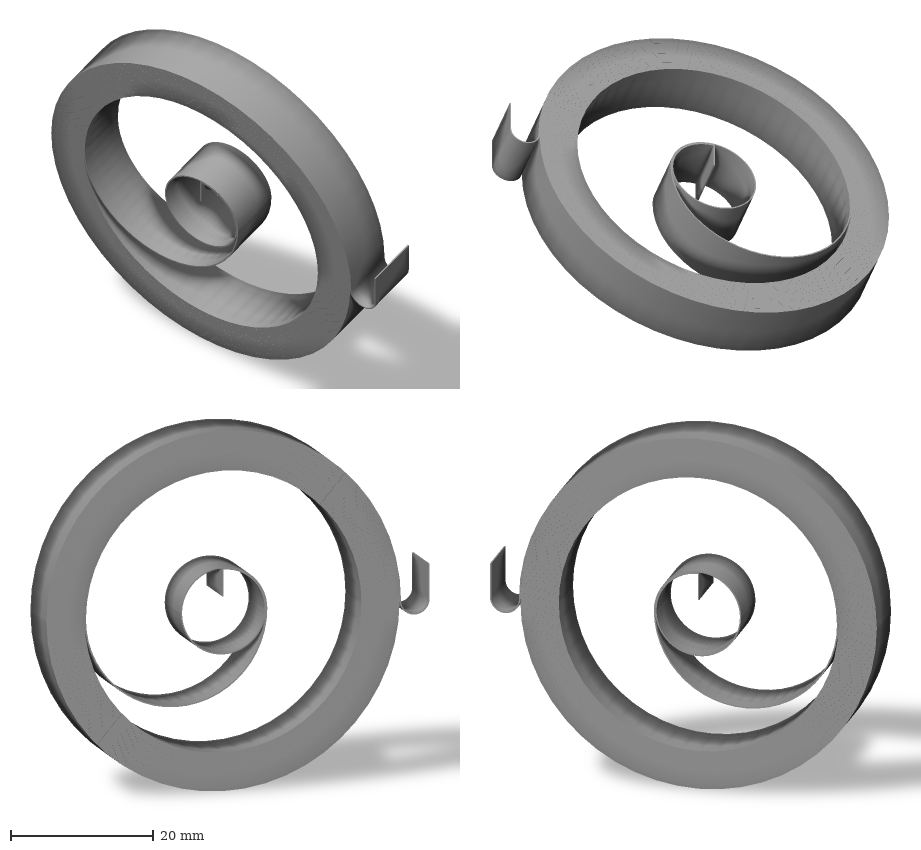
import cadquery as cq
import math

pitch = 0.2
turn_clearance = 0.002
half_thickness = (pitch - turn_clearance) / 2
width = 8.0

tang_tip_z = 2.1
tang_x = -0.1
arbor_start_x = 6.1
arbor_left_x = arbor_start_x + pitch / 2
arbor_exit_x = arbor_start_x + pitch

full_turns = 28
pack_outside_radius = 26.0
pack_outer_radius = pack_outside_radius - pitch / 2
pack_inner_radius = pack_outer_radius - full_turns * pitch

hook_leg_x = 30.1
hook_leg_top_z = 5.0

ABOVE = 1
BELOW = -1
LEFT = 1
RIGHT = -1


def arbor_half_turns():
    """Half circles as (start x, end x, side of the X axis); the last one leads out to the pack."""
    return [
        (arbor_start_x, -arbor_left_x, BELOW),
        (-arbor_left_x, arbor_exit_x, ABOVE),
        (arbor_exit_x, -pack_inner_radius, BELOW),
    ]


def pack_half_turns():
    half_turns = []
    for turn in range(full_turns):
        radius = pack_inner_radius + turn * pitch
        half_turns.append((-radius, radius, ABOVE))
        half_turns.append((radius, -(radius + pitch), BELOW))
    half_turns.append((-pack_outer_radius, pack_outer_radius, ABOVE))
    return half_turns


def hook_half_turn():
    return [(pack_outer_radius, hook_leg_x, BELOW)]


def edge_arcs(half_turns, edge):
    """Start, middle and end points of each half circle along the strip's LEFT or RIGHT edge."""
    arcs = []
    for start_x, end_x, side in half_turns:
        direction = math.copysign(1, end_x - start_x)
        radius = abs(end_x - start_x) / 2 + edge * direction * side * half_thickness
        centre_x = (start_x + end_x) / 2
        start = (centre_x - direction * radius, 0)
        middle = (centre_x, side * radius)
        end = (centre_x + direction * radius, 0)
        arcs.append((start, middle, end))
    return arcs


def first_arc(edge):
    """Arc from the tang to the X axis, on the same centre as the upper half turn that covers it."""
    centre_x = (arbor_exit_x - arbor_left_x) / 2
    radius = arbor_start_x - centre_x + edge * half_thickness
    start_x = tang_x - edge * half_thickness
    start = (start_x, math.sqrt(radius**2 - (start_x - centre_x) ** 2))
    middle = (centre_x + radius * math.sqrt(0.5), radius * math.sqrt(0.5))
    end = (centre_x + radius, 0)
    return start, middle, end


def strip_profile():
    """Closed outline: out along the left edge, around the hook leg and back along the right edge."""
    half_turns = arbor_half_turns() + pack_half_turns() + hook_half_turn()
    left_arcs = [first_arc(LEFT)] + edge_arcs(half_turns, LEFT)
    right_arcs = [first_arc(RIGHT)] + edge_arcs(half_turns, RIGHT)

    profile = cq.Workplane("XZ").moveTo(tang_x - half_thickness, tang_tip_z)
    profile = profile.lineTo(*left_arcs[0][0])
    for _, middle, end in left_arcs:
        profile = profile.threePointArc(middle, end)

    profile = profile.lineTo(hook_leg_x - half_thickness, hook_leg_top_z)
    profile = profile.lineTo(hook_leg_x + half_thickness, hook_leg_top_z)
    profile = profile.lineTo(hook_leg_x + half_thickness, 0)

    for start, middle, _ in reversed(right_arcs):
        profile = profile.threePointArc(middle, start)
    return profile.lineTo(tang_x + half_thickness, tang_tip_z).close()


result = strip_profile().extrude(width / 2, both=True)